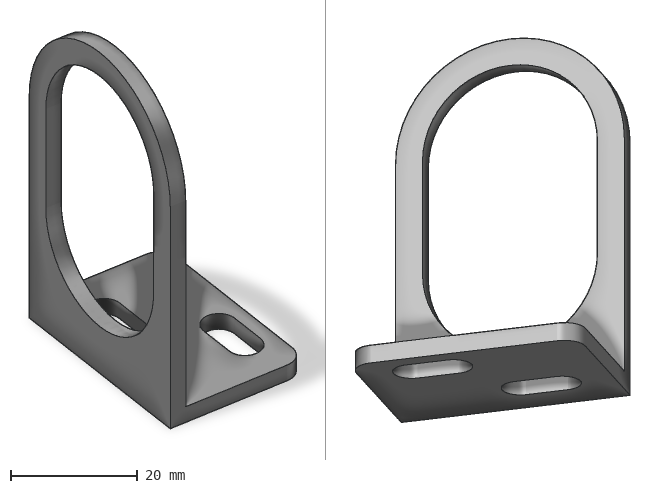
import cadquery as cq

width = 38.0
height = 61.5
depth = 26.25
thickness = 3.0

top_radius = width / 2
arch_center_z = height - top_radius
window_width = 29.0
window_straight = 19.0
window_length = window_straight + window_width
window_center_z = arch_center_z - window_straight / 2

corner_radius = 3.5
slot_width = 6.0
slot_length = 13.0
slot_offset_x = 7.0
front_slot_y = 8.4
rear_slot_y = 20.65


def make_upright():
    """Arched plate with its front face on the XZ plane."""
    plate = (
        cq.Workplane("XZ")
        .moveTo(-width / 2, 0)
        .lineTo(width / 2, 0)
        .lineTo(width / 2, arch_center_z)
        .threePointArc((0, height), (-width / 2, arch_center_z))
        .close()
        .extrude(-thickness)
    )
    window = (
        cq.Workplane("XZ")
        .center(0, window_center_z)
        .slot2D(window_length, window_width, 90)
        .extrude(-thickness)
    )
    return plate.cut(window)


def make_foot():
    """Horizontal plate with two through slots."""
    plate = (
        cq.Workplane("XY")
        .box(width, depth, thickness, centered=(True, False, False))
        .edges("|Z and >Y")
        .fillet(corner_radius)
    )
    slots = (
        cq.Workplane("XY")
        .pushPoints([(-slot_offset_x, front_slot_y), (slot_offset_x, rear_slot_y)])
        .slot2D(slot_length, slot_width)
        .extrude(thickness)
    )
    return plate.cut(slots)


result = make_upright().union(make_foot())